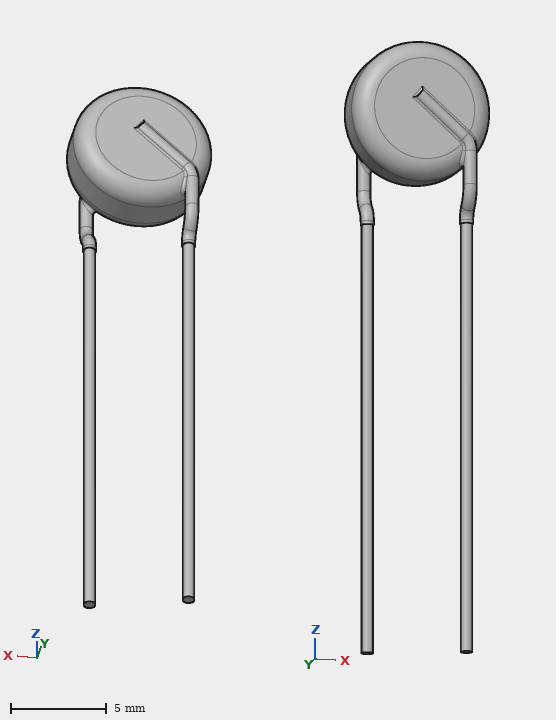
import cadquery as cq
import math

disc_diameter = 7.4
disc_thickness = 3.5
disc_rounding = 1.0

total_height = 32.4
coated_diameter = 0.7
bare_diameter = 0.6
overall_depth = 3.9
lead_x = 2.5
upper_lead_y = overall_depth / 2 - coated_diameter / 2
lower_lead_y = 0.75
bare_end_z = disc_diameter / 2 - total_height

offset_bend_top_z = -3.95
offset_bend_bottom_z = -5.7
lower_arc_share = 0.4
coating_end_z = -5.9
coating_end_rounding = 0.045

slant_angle = math.radians(42)
slant_bend_radius = 1.0
slant_bend_z = -2.17
slant_tip_x = -0.25
junction_fillet = 0.15


def make_disc():
    disc_axis_start = cq.Workplane("XZ", origin=(0, disc_thickness / 2, 0))
    disc = disc_axis_start.circle(disc_diameter / 2).extrude(disc_thickness)
    return disc.edges().fillet(disc_rounding)


def make_coated_path():
    """Centre line of the front coated wire, from the coating end up to its tip on the disc face."""
    up = cq.Vector(0, 0, 1)
    coating_end = cq.Vector(lead_x, -lower_lead_y, coating_end_z)

    bend_bottom = cq.Vector(lead_x, -lower_lead_y, offset_bend_bottom_z)
    bend_top = cq.Vector(lead_x, -upper_lead_y, offset_bend_top_z)
    arcs_meet = bend_bottom + (bend_top - bend_bottom) * lower_arc_share
    lower_arc = cq.Edge.makeTangentArc(bend_bottom, up, arcs_meet)
    upper_arc = cq.Edge.makeTangentArc(arcs_meet, lower_arc.tangentAt(1), bend_top)

    turn = math.pi / 2 - slant_angle
    turn_start = cq.Vector(lead_x, -upper_lead_y, slant_bend_z)
    turn_offset = cq.Vector(math.cos(turn) - 1, 0, math.sin(turn)) * slant_bend_radius
    turn_end = turn_start + turn_offset
    slant_run = turn_end.x - slant_tip_x
    slant_tip = turn_end + cq.Vector(-1, 0, math.tan(slant_angle)) * slant_run

    return cq.Wire.assembleEdges(
        [
            cq.Edge.makeLine(coating_end, bend_bottom),
            lower_arc,
            upper_arc,
            cq.Edge.makeLine(bend_top, turn_start),
            cq.Edge.makeTangentArc(turn_start, up, turn_end),
            cq.Edge.makeLine(turn_end, slant_tip),
        ]
    )


def make_coated_wire():
    start = cq.Workplane("XY", origin=(lead_x, -lower_lead_y, coating_end_z))
    wire = start.circle(coated_diameter / 2).sweep(make_coated_path())
    return wire.faces("<Z").edges().fillet(coating_end_rounding)


def make_bare_wire():
    start = cq.Workplane("XY", origin=(lead_x, -lower_lead_y, coating_end_z))
    return start.circle(bare_diameter / 2).extrude(bare_end_z - coating_end_z)


def half_turn(shape):
    return shape.rotate((0, 0, 0), (0, 0, 1), 180)


def blend_wires_into_disc(body):
    """Round the wire junctions: curves on the disc rounding and straight edges on the flat faces."""
    return body.edges("%BSPLINE or (%LINE and #Y and (not |Z))").fillet(junction_fillet)


front_coated_wire = make_coated_wire()
front_bare_wire = make_bare_wire()

coated_body = make_disc().union(front_coated_wire).union(half_turn(front_coated_wire))
blended_body = blend_wires_into_disc(coated_body)
result = blended_body.union(front_bare_wire).union(half_turn(front_bare_wire))